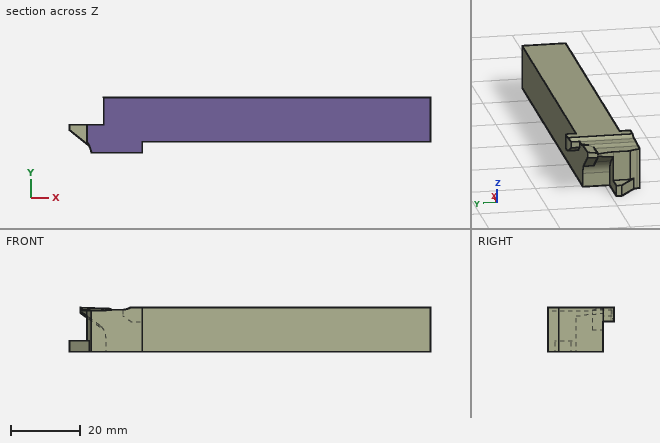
import cadquery as cq

total_length = 103.3
head_width = 19.0
height = 12.7
shank_start = 20.9
shank_near = (head_width - height) / 2
shank_far = shank_near + height

foot_height = 3.2
foot_far = 8.1
foot_tip_near = 6.5
foot_root_x = 5.7
foot_root_near = 2.0

nose_x = 5.0
nose_flank_mid = (4.5, 10.6)
nose_round_mid = (5.6, 2.2)
nose_round_end = (6.0, 1.0)
nose_corner_x = 6.3
blade_tip_x = 3.1
blade_root_x = 3.7
blade_width = 3.1
blade_near = shank_far - blade_width

floor_z = 11.8
floor_end = 9.3
step_z = 12.1
step_start = 12.2
step_end = 15.3
top_start = 17.5
rear_ramp_mid = (16.4, 12.3)
front_ramp_mid = (10.7, 11.9)

blade_end = 11.8
blade_front_near_z = 12.1
blade_front_far_z = height
blade_drop = 0.3

gullet_wall_x = 10.3
gullet_wall_top = 4.1
gullet_curve_mid = (9.7, 6.4)
gullet_curve_end = (8.0, 8.2)
gullet_slope = 0.72
rib_tip_z = 11.2

lug_bottom = 8.7
lug_front_bottom = 10.3
lug_front_far = 18.3
lug_crest_x = 18.6
lug_corner_radius = 0.9


def box(x0, x1, y0, y1, z0, z1):
    return cq.Workplane("XY").box(x1 - x0, y1 - y0, z1 - z0, centered=False).translate((x0, y0, z0))


def along_y(profile, y0, y1):
    """Extrude a closed XZ profile from y0 to y1."""
    return profile.extrude(y0 - y1).translate((0, y0, 0))


def nose_outline():
    """Plan outline of the head, without the lug."""
    return (
        cq.Workplane("XY")
        .moveTo(nose_corner_x, 0)
        .lineTo(shank_start, 0)
        .lineTo(shank_start, shank_far)
        .lineTo(blade_tip_x, shank_far)
        .lineTo(blade_root_x, blade_near)
        .threePointArc(nose_flank_mid, (nose_x, foot_far))
        .lineTo(nose_x, shank_near)
        .threePointArc(nose_round_mid, nose_round_end)
        .close()
    )


def head_side_profile():
    """Stepped side profile with two gentle concave ramps."""
    return (
        cq.Workplane("XZ")
        .lineTo(shank_start, 0)
        .lineTo(shank_start, height)
        .lineTo(top_start, height)
        .threePointArc(rear_ramp_mid, (step_end, step_z))
        .lineTo(step_start, step_z)
        .threePointArc(front_ramp_mid, (floor_end, floor_z))
        .lineTo(0, floor_z)
        .close()
    )


def gullet():
    """Clearance open to the front, bottom and far side."""
    front_z = gullet_curve_end[1] + gullet_slope * gullet_curve_end[0]
    profile = (
        cq.Workplane("XZ")
        .lineTo(gullet_wall_x, 0)
        .lineTo(gullet_wall_x, gullet_wall_top)
        .threePointArc(gullet_curve_mid, gullet_curve_end)
        .lineTo(0, front_z)
        .close()
    )
    return along_y(profile, foot_far, shank_far)


def blade_section(sketch, near_z, far_z):
    """Add a YZ section of the blade, reaching down to the base, to a workplane."""
    return sketch.polyline(
        [(blade_near, 0), (shank_far, 0), (shank_far, far_z), (blade_near, near_z)]
    ).close()


def blade():
    """Tilted blade top with a sloping rib beneath it."""
    blade_length = blade_end - blade_tip_x
    front = blade_section(
        cq.Workplane("YZ", origin=(blade_tip_x, 0, 0)), blade_front_near_z, blade_front_far_z
    )
    rear = front.workplane(offset=blade_length)
    tilted_block = blade_section(
        rear, blade_front_near_z - blade_drop, blade_front_far_z - blade_drop
    ).loft(ruled=True)
    above_rib_slope = (
        cq.Workplane("XZ")
        .moveTo(blade_tip_x, rib_tip_z)
        .lineTo(blade_end, rib_tip_z - gullet_slope * blade_length)
        .lineTo(blade_end, height)
        .lineTo(blade_tip_x, height)
        .close()
    )
    envelope = along_y(above_rib_slope, blade_near, shank_far)
    return tilted_block.intersect(envelope).intersect(nose_outline().extrude(height))


def lug():
    """Rounded lug with a sloping underside."""
    slope_run = (lug_front_bottom - lug_bottom) / gullet_slope
    plan = (
        cq.Workplane("XY")
        .moveTo(step_end, shank_near)
        .lineTo(step_end, lug_front_far)
        .lineTo(lug_crest_x, head_width)
        .lineTo(shank_start, head_width)
        .lineTo(shank_start, shank_near)
        .close()
        .extrude(height)
        .edges("|Z and >X and >Y")
        .fillet(lug_corner_radius)
    )
    underside = (
        cq.Workplane("XZ")
        .moveTo(step_end, 0)
        .lineTo(step_end, lug_front_bottom)
        .lineTo(step_end + slope_run, lug_bottom)
        .lineTo(shank_start, lug_bottom)
        .lineTo(shank_start, 0)
        .close()
    )
    return plan.cut(along_y(underside, 0, head_width)).intersect(
        along_y(head_side_profile(), 0, head_width)
    )


def foot():
    return (
        cq.Workplane("XY")
        .moveTo(0, foot_far)
        .lineTo(0, foot_tip_near)
        .lineTo(foot_root_x, foot_root_near)
        .lineTo(foot_root_x, foot_far)
        .close()
        .extrude(foot_height)
    )


head = nose_outline().extrude(height).intersect(along_y(head_side_profile(), 0, shank_far))
shank = box(shank_start, total_length, shank_near, shank_far, 0, height)
result = head.cut(gullet()).union(blade()).union(lug()).union(foot()).union(shank)